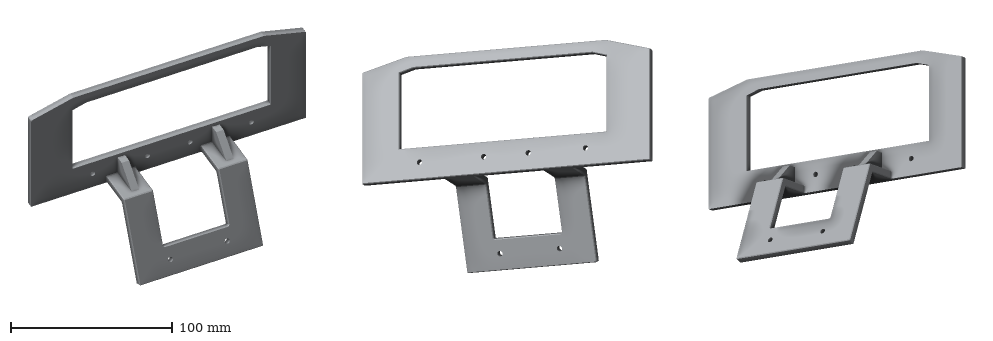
import cadquery as cq
import math

edge_bevel = 0.5

plate_width = 190.0
plate_thickness = 5.0
shoulder_height = 71.0
plate_height = 78.8
crown_width = 131.9

window_left = 70.7
window_right = -66.3
window_bottom = 20.3
window_corner_height = 68.8
window_top = 71.5
window_bevel_run = 9.3

screw_hole_diameter = 3.5
screw_hole_height = 10.8
screw_hole_positions = [57.2, 14.8, -14.6, -52.5]

sheet_thickness = plate_thickness
bracket_width = 85.5
leg_angle = math.radians(22.5)
leg_tip_x = 51.5
leg_tip_z = -50.7
slot_width = 45.2
slot_floor_z = -32.3
leg_hole_diameter = 3.5
leg_hole_spacing = 39.3
leg_hole_z = -41.0

gusset_width = 5.1
gusset_height = 12.7
gusset_length = 20.0
gusset_top_length = 5.7
gusset_spacing = 65.4

leg_sin = math.sin(leg_angle)
leg_cos = math.cos(leg_angle)
leg_tan = math.tan(leg_angle)

inner_bend_x = leg_tip_x - sheet_thickness * leg_cos + leg_tip_z * leg_tan


def inner_leg_x(z):
    """X of the plate-side face of the leg at height z."""
    return inner_bend_x - z * leg_tan


def leg_section(z, normal):
    """Workplane at height z on the plate-side face of the leg; its local x runs along Y."""
    return cq.Workplane(cq.Plane((inner_leg_x(z), 0, z), (0, 1, 0), normal))


def face_plate():
    half_width = plate_width / 2
    half_crown = crown_width / 2
    outline = [
        (-half_width, 0),
        (half_width, 0),
        (half_width, shoulder_height),
        (half_crown, plate_height),
        (-half_crown, plate_height),
        (-half_width, shoulder_height),
    ]
    plate = cq.Workplane("YZ").polyline(outline).close().extrude(plate_thickness)
    shoulders = plate.edges("|X").edges("<Y or >Y").edges(">Z")
    plate = shoulders.chamfer(edge_bevel).cut(window())
    return plate.faces("<X").edges().chamfer(edge_bevel).cut(screw_holes())


def window():
    outline = [
        (window_left, window_bottom),
        (window_left, window_corner_height),
        (window_left - window_bevel_run, window_top),
        (window_right + window_bevel_run, window_top),
        (window_right, window_corner_height),
        (window_right, window_bottom),
    ]
    return cq.Workplane("YZ").polyline(outline).close().extrude(plate_thickness)


def screw_holes():
    centres = [(y, screw_hole_height) for y in screw_hole_positions]
    return (
        cq.Workplane("YZ").pushPoints(centres)
        .circle(screw_hole_diameter / 2).extrude(plate_thickness)
    )


def bracket_slot():
    """Gap between the two arms, ending in a floor square to the leg."""
    leg_length = -leg_tip_z / leg_cos
    gap = cq.Workplane("XY").box(
        leg_tip_x, slot_width, 2 * leg_length, centered=(False, True, True)
    ).translate((plate_thickness, 0, 0))
    below_floor = leg_section(slot_floor_z, (leg_sin, 0, -leg_cos)).rect(
        bracket_width, 2 * leg_length
    ).extrude(2 * leg_length)
    return gap.cut(below_floor)


def leg_holes():
    centres = [(-leg_hole_spacing / 2, 0), (leg_hole_spacing / 2, 0)]
    return (
        leg_section(leg_hole_z, (leg_cos, 0, leg_sin)).pushPoints(centres)
        .circle(leg_hole_diameter / 2).extrude(sheet_thickness)
    )


def bracket():
    """Bent sheet with every edge bevelled except those on the plate."""
    tip_top_z = leg_tip_z + sheet_thickness * leg_sin
    outer_bend_x = leg_tip_x - (sheet_thickness - tip_top_z) * leg_tan
    profile = [
        (plate_thickness, 0),
        (inner_bend_x, 0),
        (inner_leg_x(leg_tip_z), leg_tip_z),
        (leg_tip_x, tip_top_z),
        (outer_bend_x, sheet_thickness),
        (plate_thickness, sheet_thickness),
    ]
    sheet = cq.Workplane("XZ").polyline(profile).close().extrude(bracket_width / 2, both=True)
    sheet = sheet.cut(bracket_slot())
    return sheet.edges("not <X").chamfer(edge_bevel).cut(leg_holes())


def make_frame():
    """Face plate and bracket in one piece, with bevels in the corners where they join."""
    frame = face_plate().union(bracket())
    margin = edge_bevel / 4
    half_width = bracket_width / 2 + margin
    joint_edges = frame.edges(cq.selectors.BoxSelector(
        (plate_thickness - margin, -half_width, margin),
        (plate_thickness + margin, half_width, sheet_thickness + margin),
    ))
    return joint_edges.chamfer(edge_bevel)


def make_gusset(y, frame):
    """Gusset centred on y, trimmed to the corner bevel of the frame."""
    back_x = plate_thickness
    base_z = sheet_thickness
    profile = [
        (back_x, base_z),
        (back_x, base_z + gusset_height),
        (back_x + gusset_top_length, base_z + gusset_height),
        (back_x + gusset_length, base_z),
    ]
    blank = cq.Workplane("XZ").polyline(profile).close().extrude(gusset_width / 2, both=True)
    return blank.translate((0, y, 0)).cut(frame)


frame = make_frame()
gussets = [make_gusset(side * gusset_spacing / 2, frame) for side in (-1, 1)]

result = cq.Compound.makeCompound([frame.val(), *[gusset.val() for gusset in gussets]])